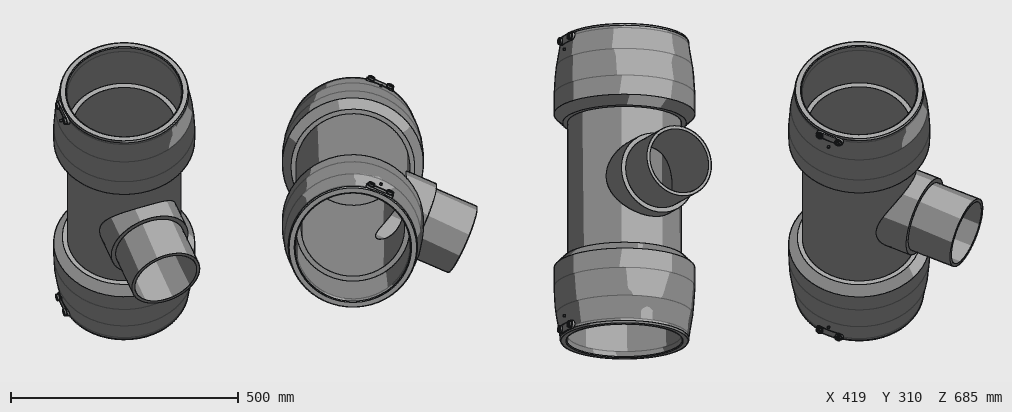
import cadquery as cq

total_height = 685.0
end_z = total_height / 2

tube_diameter = 250.0
tube_radius = tube_diameter / 2
bore_radius = 114.0

socket_radius = 155.0
socket_base_z = 157.0
base_chamfer = 19.0
barrel_top_z = 220.0
taper_start_z = 282.0
taper_start_radius = 150.0
rim_base_z = 332.0
rim_radius = 142.0
rim_chamfer_width = 2.0
rim_chamfer_height = 5.0

cavity_radius = 125.5
cavity_lead_in_depth = 13.0
mouth_radius = 127.0
mouth_chamfer = 2.0

branch_end_x = 264.0
collar_radius = 90.0
collar_end_x = 161.0
spigot_radius = 79.5
spigot_bore_radius = spigot_radius * bore_radius / tube_radius

pad_width = 64.5
pad_height = 18.5
pad_face_y = -144.5
pad_root_y = -133.5
pad_z = 329.5

terminal_spacing = 45.0
terminal_radius = 7.5
terminal_hole_radius = 5.5
pin_radius = 3.0
terminal_face_y = -150.0
terminal_chamfer = 1.0
indicator_radius = 3.0
indicator_z = 305.0


def make_socket():
    """Upper socket body as a solid of revolution, still without its bore."""
    return (
        cq.Workplane("XZ")
        .moveTo(0, socket_base_z)
        .lineTo(socket_radius - base_chamfer, socket_base_z)
        .lineTo(socket_radius, socket_base_z + base_chamfer)
        .lineTo(socket_radius, barrel_top_z)
        .tangentArcPoint((taper_start_radius, taper_start_z), relative=False)
        .lineTo(rim_radius, rim_base_z)
        .lineTo(rim_radius, end_z - rim_chamfer_height)
        .lineTo(rim_radius - rim_chamfer_width, end_z)
        .lineTo(0, end_z)
        .close()
        .revolve(360, (0, 0, 0), (0, 1, 0))
    )


def make_socket_cavity():
    """Space for the inserted pipe, with a tapered lead-in and a chamfered mouth."""
    return (
        cq.Workplane("XZ")
        .moveTo(0, barrel_top_z)
        .lineTo(cavity_radius, barrel_top_z)
        .lineTo(cavity_radius, end_z - cavity_lead_in_depth)
        .lineTo(mouth_radius, end_z - mouth_chamfer)
        .lineTo(mouth_radius + mouth_chamfer, end_z)
        .lineTo(0, end_z)
        .close()
        .revolve(360, (0, 0, 0), (0, 1, 0))
    )


def y_plane(y):
    """Workplane at the given Y whose normal points outward along -Y."""
    return cq.Workplane("XZ", origin=(0, y, 0))


def make_terminals():
    """Obround pad, two terminals and the indicator of the upper socket."""
    pad = y_plane(pad_root_y).center(0, pad_z).slot2D(pad_width, pad_height).extrude(pad_root_y - pad_face_y)
    terminal_height = pad_face_y - terminal_face_y
    terminal_places = [(-terminal_spacing / 2, pad_z), (terminal_spacing / 2, pad_z)]
    shrouds = (
        y_plane(pad_face_y)
        .pushPoints(terminal_places)
        .circle(terminal_radius)
        .extrude(terminal_height)
        .faces("<Y")
        .chamfer(terminal_chamfer)
        .faces("<Y")
        .workplane(origin=(0, terminal_face_y, 0))
        .pushPoints(terminal_places)
        .circle(terminal_hole_radius)
        .cutBlind(-terminal_height)
    )
    pins = y_plane(pad_face_y).pushPoints(terminal_places).circle(pin_radius).extrude(terminal_height)
    indicator = (
        y_plane(pad_root_y)
        .center(0, indicator_z)
        .circle(indicator_radius)
        .extrude(pad_root_y - terminal_face_y)
    )
    return pad.union(shrouds).union(pins).union(indicator)


def make_x_cylinder(radius, end_x):
    """Cylinder along the branch axis, from the tube axis out to end_x."""
    return cq.Workplane("YZ").circle(radius).extrude(end_x)


def with_lower_copy(upper):
    """The given upper feature together with its mirror image below the branch axis."""
    return upper.union(upper.mirror("XY"))


tube = cq.Workplane("XY").circle(tube_radius).extrude(end_z, both=True)
sockets = with_lower_copy(make_socket().union(make_terminals()))
collar = make_x_cylinder(collar_radius, collar_end_x)
spigot = make_x_cylinder(spigot_radius, branch_end_x)
body = tube.union(sockets).union(collar).union(spigot)

bore = cq.Workplane("XY").circle(bore_radius).extrude(end_z, both=True)
cavities = with_lower_copy(make_socket_cavity())
branch_bore = make_x_cylinder(spigot_bore_radius, branch_end_x)

result = body.cut(bore).cut(cavities).cut(branch_bore)